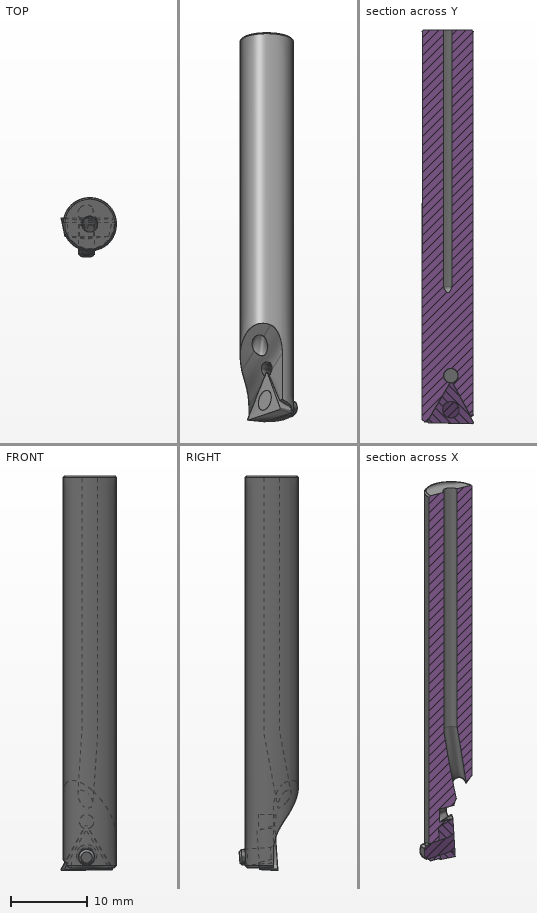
import cadquery as cq
import math

bar_diameter = 7.0
bar_radius = bar_diameter / 2
bar_top = 51.75
bar_bottom = 0.35
top_chamfer = 0.2
bottom_chamfer = 0.3

flat_y = 0.2
ramp_heading = 130.0
ramp_slope = 1.25
ramp_axis_z = 7.45
ramp_fillet_radius = 3.95

coolant_radius = 1.05
coolant_bend_z = 18.1
coolant_exit = cq.Vector(-0.55, 1.6, 9.65)

insert_x = -0.4
insert_z = 2.05
insert_inradius = 2.0
insert_turn = 1.0
insert_nose_radius = 0.15
insert_thickness = 2.4
insert_face_y = 0.65
relief_angle = 7.0
rake_tilt = 4.0

relief_radius = 0.95
relief_z = 6.4

tip_step_x = -2.4
tip_step_depth_y = -1.75
tip_step_front_z = 1.55
tip_step_back_z = 1.05

screw_radius = 1.05
screw_end_chamfer = 0.3
screw_end_y = -4.25
head_radius = 1.35
head_depth = 0.8

cut_size = 4 * bar_diameter

insert_frame = cq.Plane(
    origin=(insert_x, insert_face_y, insert_z), xDir=(1, 0, 0),
    normal=(0, -math.cos(math.radians(rake_tilt)), -math.sin(math.radians(rake_tilt))),
)


def make_insert_blank():
    """Solid triangle that narrows away from the rake face."""
    circumradius = 2 * insert_inradius
    blank = (
        cq.Workplane(insert_frame)
        .polyline([
            (circumradius * math.cos(math.radians(angle)), circumradius * math.sin(math.radians(angle)))
            for angle in (90 + insert_turn, 210 + insert_turn, 330 + insert_turn)
        ])
        .close()
        .extrude(insert_thickness, taper=relief_angle)
    )
    side_edges = blank.edges().filter(
        lambda edge: abs(edge.startPoint().y - edge.endPoint().y) > insert_thickness / 2)
    return side_edges.fillet(insert_nose_radius)


def make_screw():
    """Countersunk screw flush with the rake face."""
    end_depth = insert_face_y - screw_end_y
    return (
        cq.Workplane(cq.Plane(insert_frame.origin, insert_frame.xDir, insert_frame.yDir * -1))
        .polyline([
            (0, 0),
            (head_radius, 0),
            (screw_radius, head_depth),
            (screw_radius, end_depth - screw_end_chamfer),
            (screw_radius - screw_end_chamfer, end_depth),
            (0, end_depth),
        ])
        .close()
        .revolve(360, (0, 0), (0, 1))
    )


def make_gullet():
    """Material removed in front of the flat and below the ramp."""
    front = cq.Workplane("XY").box(2 * bar_diameter, bar_diameter, cut_size, centered=(True, False, True))
    front = front.translate((0, flat_y, 0))
    below_ramp = (
        cq.Workplane("XZ")
        .polyline([
            (-cut_size, ramp_axis_z - cut_size * ramp_slope),
            (cut_size, ramp_axis_z + cut_size * ramp_slope),
            (cut_size, -cut_size * ramp_slope),
        ])
        .close()
        .extrude(cut_size / 2, both=True)
        .rotate((0, 0, 0), (0, 0, 1), ramp_heading)
    )
    gullet = front.intersect(below_ramp)
    flat_rise = ramp_slope * math.sin(math.radians(ramp_heading))
    ramp_foot = (0, flat_y, ramp_axis_z + flat_y * flat_rise)
    return gullet.edges(cq.NearestToPointSelector(ramp_foot)).fillet(ramp_fillet_radius)


def make_corner_relief():
    """Round hole along Y that reaches the depth of the insert pocket."""
    return (
        cq.Workplane("XZ", origin=(insert_x, insert_face_y - insert_thickness, relief_z))
        .circle(relief_radius)
        .extrude(-bar_diameter)
    )


def make_coolant_bore():
    """Vertical bore that bends towards the ramp."""
    bend = cq.Vector(0, 0, coolant_bend_z)
    slant = coolant_exit - bend
    vertical = cq.Solid.makeCylinder(coolant_radius, bar_top - coolant_bend_z, bend)
    slanted = cq.Solid.makeCylinder(coolant_radius, slant.Length * 1.5, bend, slant)
    elbow = cq.Solid.makeSphere(coolant_radius, bend, cq.Vector(0, 0, 1), -90, 90, 360)
    return cq.Workplane(vertical.fuse(slanted, elbow))


def make_tip_step():
    """Sloping step beside the cutting corner, open towards -X."""
    return (
        cq.Workplane("YZ", origin=(tip_step_x, 0, 0))
        .polyline([
            (flat_y, 0),
            (flat_y, tip_step_front_z),
            (tip_step_depth_y, tip_step_back_z),
            (tip_step_depth_y, 0),
        ])
        .close()
        .extrude(-bar_diameter)
    )


def make_bar(insert_blank, screw):
    return (
        cq.Workplane("XY", origin=(0, 0, bar_bottom))
        .circle(bar_radius)
        .extrude(bar_top - bar_bottom)
        .faces(">Z").chamfer(top_chamfer)
        .faces("<Z").chamfer(bottom_chamfer)
        .cut(make_gullet())
        .cut(make_coolant_bore())
        .cut(make_corner_relief())
        .cut(make_tip_step())
        .cut(insert_blank)
        .cut(screw)
    )


insert_blank = make_insert_blank()
screw = make_screw()
insert = insert_blank.cut(screw)
bar = make_bar(insert_blank, screw)

result = cq.Compound.makeCompound([bar.val(), insert.val(), screw.val()])